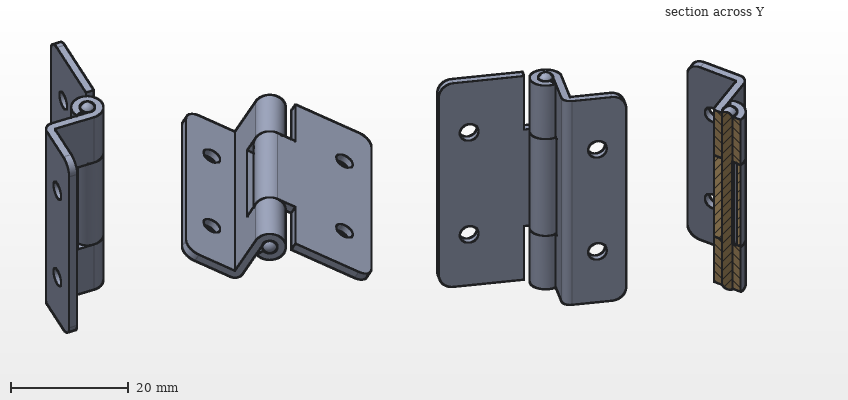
import cadquery as cq
import math

total_length = 41.7
leaf_length = 40.0
thickness = 1.5
pin_radius = 1.25
head_radius = 1.35
barrel_radius = pin_radius + thickness
knuckle_length = 18.97

flat_leaf_end = 18.25
flat_leaf_shoulder = 3.45
bent_leaf_end = 12.2
bent_leaf_drop = 8.75
notch_depth = 2.95
curl_end_angle = 65.0

corner_radius = 2.5
hole_diameter = 3.2
hole_height = 10.0
flat_leaf_hole_x = -13.0
bent_leaf_hole_x = 7.2
size_margin = 4.15


def curled_profile(straight_length):
    """Strip along -Y whose end curls counterclockwise around the pin from the +X side."""
    middle = math.radians((360 - curl_end_angle) / 2)
    end = math.radians(-curl_end_angle)

    def on_circle(radius, angle):
        return (radius * math.cos(angle), radius * math.sin(angle))

    return (
        cq.Workplane("XY")
        .moveTo(pin_radius, -straight_length)
        .lineTo(barrel_radius, -straight_length)
        .lineTo(barrel_radius, 0)
        .threePointArc(on_circle(barrel_radius, middle), on_circle(barrel_radius, end))
        .lineTo(*on_circle(pin_radius, end))
        .threePointArc(on_circle(pin_radius, middle), (pin_radius, 0))
        .close()
    )


def extrude_centred(profile, length):
    return profile.extrude(length / 2, both=True)


def box_between(x_range, y_range, length):
    """Box centred on Z = 0 that spans the given X and Y ranges."""
    profile = cq.Workplane("XY").moveTo(x_range[0], y_range[0]).lineTo(x_range[1], y_range[0])
    profile = profile.lineTo(x_range[1], y_range[1]).lineTo(x_range[0], y_range[1]).close()
    return extrude_centred(profile, length)


def drill_holes(leaf, hole_x):
    """Cut the two screw holes right through a leaf along Y."""
    holes = (
        cq.Workplane("XZ")
        .pushPoints([(hole_x, hole_height), (hole_x, -hole_height)])
        .circle(hole_diameter / 2)
        .extrude(bent_leaf_drop + size_margin, both=True)
    )
    return leaf.cut(holes)


def make_flat_leaf():
    plate = box_between((-flat_leaf_end, -flat_leaf_shoulder), (pin_radius, barrel_radius), leaf_length)
    plate = plate.edges("|Y and <X").fillet(corner_radius)
    knuckle = extrude_centred(curled_profile(flat_leaf_shoulder), knuckle_length)
    knuckle = knuckle.mirror("YZ").rotate((0, 0, 0), (0, 0, 1), -90)
    return drill_holes(plate.union(knuckle), flat_leaf_hole_x)


def make_bent_leaf():
    wall = extrude_centred(curled_profile(bent_leaf_drop), leaf_length)
    flange = box_between(
        (pin_radius, bent_leaf_end), (-bent_leaf_drop, thickness - bent_leaf_drop), leaf_length
    )
    flange = flange.edges("|Y and >X").fillet(corner_radius)
    leaf = wall.union(flange)
    bend_edge = cq.selectors.NearestToPointSelector((pin_radius, -bent_leaf_drop, 0))
    leaf = leaf.edges(bend_edge).fillet(thickness)
    reach = barrel_radius + size_margin
    notch = box_between((-reach, reach), (-notch_depth, reach), knuckle_length)
    return drill_holes(leaf.cut(notch), bent_leaf_hole_x)


def make_pin():
    """Round pin with a domed head at each end."""
    dome_height = (total_length - leaf_length) / 2
    sphere_radius = (head_radius**2 + dome_height**2) / (2 * dome_height)
    tip = total_length / 2
    shoulder = leaf_length / 2
    half_dome = math.asin(head_radius / sphere_radius) / 2
    arc_x = sphere_radius * math.sin(half_dome)
    arc_z = tip - sphere_radius * (1 - math.cos(half_dome))
    return (
        cq.Workplane("XZ")
        .moveTo(0, -tip)
        .threePointArc((arc_x, -arc_z), (head_radius, -shoulder))
        .lineTo(pin_radius, -shoulder)
        .lineTo(pin_radius, shoulder)
        .lineTo(head_radius, shoulder)
        .threePointArc((arc_x, arc_z), (0, tip))
        .close()
        .revolve(360, (0, 0, 0), (0, 1, 0))
    )


flat_leaf = make_flat_leaf()
bent_leaf = make_bent_leaf()
pin = make_pin()
result = cq.Compound.makeCompound([flat_leaf.val(), bent_leaf.val(), pin.val()])